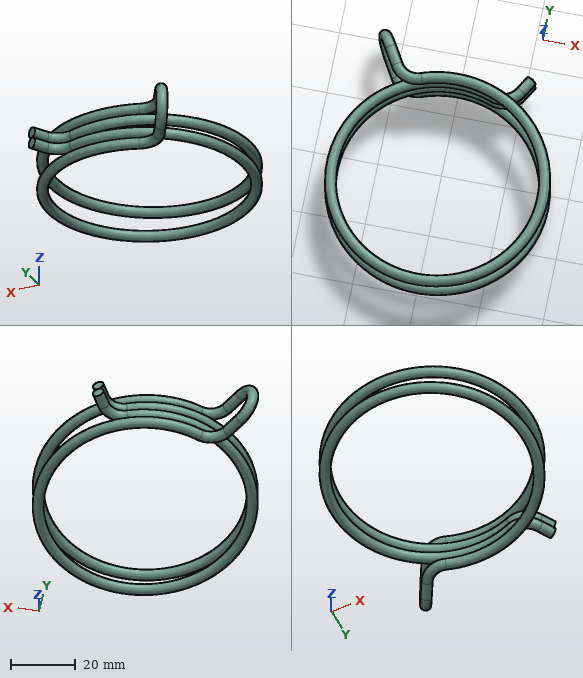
import cadquery as cq
import math


wire_diameter = 3.5
outer_diameter = 69.5
overall_length = 80.9
overall_height = 15.3

tail_height = 1.8
tail_length = 5.0
bend_radius = 6.7
end_angle = 20.0
lean_angle = 30.0

wire_radius = wire_diameter / 2
coil_radius = (outer_diameter - wire_diameter) / 2
loop_radius = (overall_height - wire_diameter) / 2
leg_height = loop_radius

coil_turn = 360 + 2 * end_angle
coil_rise = leg_height - tail_height
coil_pitch = coil_rise * 360 / coil_turn
end_heading = 90 - end_angle

bend_turn = 90 + end_angle - lean_angle

lean_x = math.sin(math.radians(lean_angle))
lean_y = math.cos(math.radians(lean_angle))
bend_centre_radius = coil_radius + bend_radius
bend_centre_x = bend_centre_radius * math.sin(math.radians(end_angle))
bend_centre_y = bend_centre_radius * math.cos(math.radians(end_angle))
bend_end_x = bend_centre_x + bend_radius * lean_y
bend_end_y = bend_centre_y - bend_radius * lean_x

loop_centre_y = overall_length - outer_diameter / 2 - wire_radius - loop_radius * lean_y
leg_length = (loop_centre_y - bend_end_y) / lean_y


def make_coil():
    """Helical coil of the upper half, from tail height up to leg height."""
    path = cq.Workplane(cq.Wire.makeHelix(coil_pitch, coil_rise, coil_radius))
    section = cq.Workplane("XZ").center(coil_radius, 0).circle(wire_radius)
    coil = section.sweep(path, isFrenet=True)
    return coil.rotate((0, 0, 0), (0, 0, 1), end_heading).translate((0, 0, tail_height))


def make_arm(height, straight_length):
    """Outward bend and straight wire on the +X side, lying flat at the given height."""
    bend = (
        cq.Workplane("XZ")
        .center(-bend_radius, 0)
        .circle(wire_radius)
        .revolve(bend_turn, (bend_radius, 0), (bend_radius, 1))
        .rotate((0, 0, 0), (0, 0, 1), end_heading)
        .translate((bend_centre_x, bend_centre_y, height))
    )
    straight_plane = cq.Plane((bend_end_x, bend_end_y, height), (0, 0, 1), (lean_x, lean_y, 0))
    straight = cq.Workplane(straight_plane).circle(wire_radius).extrude(straight_length)
    return bend.union(straight)


def make_loop():
    """Half-ring standing on edge that joins the upper and lower grip legs."""
    start_x = -(bend_end_x + leg_length * lean_x)
    plane = cq.Plane((start_x, loop_centre_y, 0), (0, 0, 1), (-lean_x, lean_y, 0))
    return (
        cq.Workplane(plane)
        .center(loop_radius, 0)
        .circle(wire_radius)
        .revolve(180, (-loop_radius, 0), (-loop_radius, -1))
    )


tail = make_arm(tail_height, tail_length)
grip_leg = make_arm(leg_height, leg_length).mirror("YZ")
upper_half = make_coil().union(tail).union(grip_leg)
lower_half = upper_half.mirror("XY")

result = upper_half.union(make_loop()).union(lower_half)